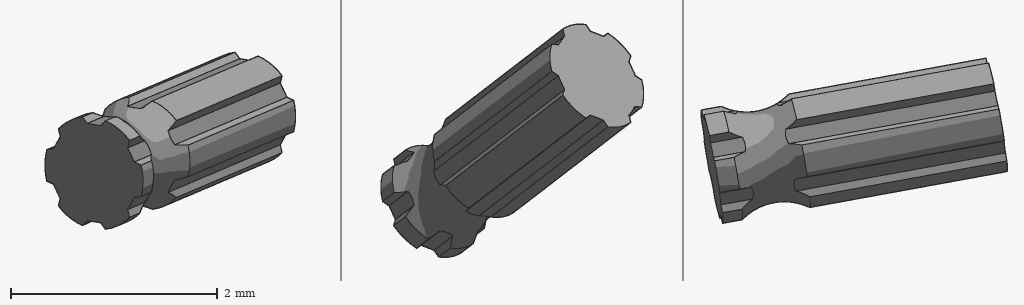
import cadquery as cq

length = 2.81
outer_radius = 0.5605
groove_count = 6
groove_floor_distance = 0.49
groove_floor_width = 0.152
neck_radius = 0.452
neck_width = 0.67
neck_center = 0.528


def make_body():
    """Round bar with a waist formed by a concave arc, revolved about Y."""
    half_neck = neck_width / 2
    profile = (
        cq.Workplane("XY")
        .lineTo(outer_radius, 0)
        .lineTo(outer_radius, neck_center - half_neck)
        .threePointArc(
            (neck_radius, neck_center),
            (outer_radius, neck_center + half_neck),
        )
        .lineTo(outer_radius, length)
        .lineTo(0, length)
        .close()
    )
    return profile.revolve(360, (0, 0, 0), (0, 1, 0))


def make_groove():
    """Full-length cutter for the top groove, with a flat floor and 45 degree walls."""
    half_floor = groove_floor_width / 2
    cutter_depth = 2 * (outer_radius - groove_floor_distance)
    half_mouth = half_floor + cutter_depth
    cutter_top = groove_floor_distance + cutter_depth
    return (
        cq.Workplane("XZ")
        .polyline([
            (-half_floor, groove_floor_distance),
            (half_floor, groove_floor_distance),
            (half_mouth, cutter_top),
            (-half_mouth, cutter_top),
        ])
        .close()
        .extrude(-length)
    )


result = make_body()
groove = make_groove()
for index in range(groove_count):
    angle = index * 360 / groove_count
    result = result.cut(groove.rotate((0, 0, 0), (0, 1, 0), angle))